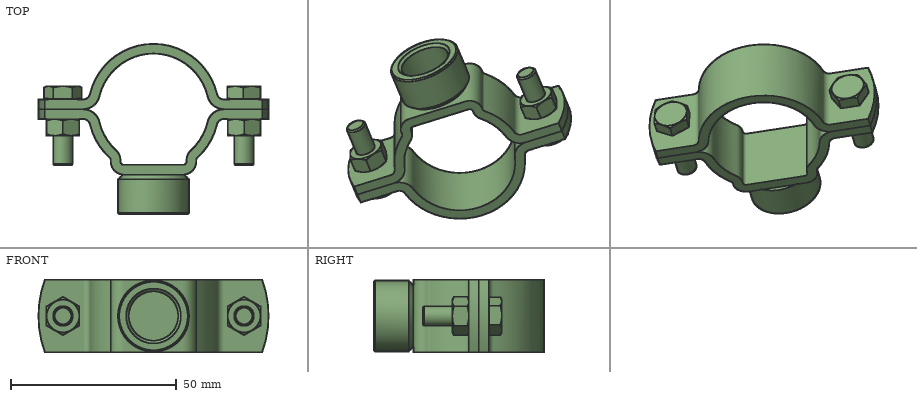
import cadquery as cq
import math


LENGTH = 69.8
STRIP_WIDTH = 22.0
THICKNESS = 3.0
RING_OUTER = 19.8
RING_INNER = RING_OUTER - THICKNESS

FLANGE_BEND = 2.0
FLANGE_CORNER_X = 32.95

PAD_HALF_WIDTH = 13.0
PAD_BEND = 1.0

BOLT_X = 27.45
BOLT_DIAMETER = 6.0
BOLT_END_Y = -17.05
BOLT_END_CHAMFER = 0.5
HEX_FLATS = 10.0
HEX_CORNERS = HEX_FLATS / math.cos(math.radians(30))
HEX_FACE_DIAMETER = 9.9
HEX_CHAMFER_ANGLE = 30.0
HEAD_HEIGHT = 4.0
WASHER_FACE_HEIGHT = 0.2
WASHER_FACE_DIAMETER = 8.95
NUT_HEIGHT = 5.0
NUT_TURN = 30.0
SIDES = (-1, 1)
HEAD_TURNS = {-1: 0.0, 1: 32.5}

SOCKET_DIAMETER = 21.6
SOCKET_END_Y = -31.85
SOCKET_BASE_CHAMFER = 1.5
SOCKET_END_CHAMFER = 0.4
BORE_DIAMETER = 14.95
BORE_MOUTH_CHAMFER = 0.85

FLANGE_BEND_Y = THICKNESS + FLANGE_BEND
FLANGE_BEND_X = math.sqrt((RING_OUTER + FLANGE_BEND) ** 2 - FLANGE_BEND_Y ** 2)
FLANGE_ANGLE = math.degrees(math.atan2(FLANGE_BEND_Y, FLANGE_BEND_X))

WALL_BEND_X = PAD_HALF_WIDTH + PAD_BEND
WALL_BEND_Y = -math.sqrt((RING_OUTER + PAD_BEND) ** 2 - WALL_BEND_X ** 2)
WALL_ANGLE = math.degrees(math.atan2(WALL_BEND_Y, WALL_BEND_X))

PAD_BEND_OUTER = PAD_BEND + THICKNESS
PAD_BEND_X = PAD_HALF_WIDTH - PAD_BEND_OUTER
PAD_BEND_Y = -RING_OUTER + PAD_BEND_OUTER


def polar(center, radius, angle):
    """Point of a circle at an angle in degrees."""
    turn = math.radians(angle)
    return (center[0] + radius * math.cos(turn), center[1] + radius * math.sin(turn))


def bend(center, inner, start, end):
    """Curved piece of strip with the given inner radius, between two angles in degrees."""
    outer = inner + THICKNESS
    middle = (start + end) / 2
    return (
        cq.Workplane("XY")
        .workplane(offset=-STRIP_WIDTH / 2)
        .moveTo(*polar(center, inner, start))
        .lineTo(*polar(center, outer, start))
        .threePointArc(polar(center, outer, middle), polar(center, outer, end))
        .lineTo(*polar(center, inner, end))
        .threePointArc(polar(center, inner, middle), polar(center, inner, start))
        .close()
        .extrude(STRIP_WIDTH)
    )


def bar(x_min, x_max, y_min, y_max):
    """Straight piece of strip."""
    size = (x_max - x_min, y_max - y_min, STRIP_WIDTH)
    return cq.Workplane("XY").box(*size, centered=(False, False, True)).translate((x_min, y_min, 0))


def cylinder(diameter, y_min, y_max):
    """Round bar along Y, centred on the Y axis."""
    return cq.Workplane("XZ", origin=(0, y_max, 0)).circle(diameter / 2).extrude(y_max - y_min)


def flange():
    """Right-hand flange above Y = 0, with a bowed end and a bolt hole."""
    half_width = STRIP_WIDTH / 2
    plate = (
        cq.Workplane("XZ")
        .moveTo(FLANGE_BEND_X, -half_width)
        .lineTo(FLANGE_CORNER_X, -half_width)
        .threePointArc((LENGTH / 2, 0), (FLANGE_CORNER_X, half_width))
        .lineTo(FLANGE_BEND_X, half_width)
        .close()
        .extrude(-THICKNESS)
    )
    return plate.cut(cylinder(BOLT_DIAMETER, 0, THICKNESS).translate((BOLT_X, 0, 0)))


def join(pieces):
    """One strip from its pieces, keeping the bend lines between them."""
    strip = pieces[0]
    for piece in pieces[1:]:
        strip = strip.union(piece, clean=False)
    return strip


def mirrored(piece):
    """The piece and its mirror image across the plane X = 0."""
    return [piece, piece.mirror("YZ")]


def flange_with_bend():
    """Right-hand flange above Y = 0 and the bend leading from it to the ring."""
    flange_bend = bend((FLANGE_BEND_X, FLANGE_BEND_Y), FLANGE_BEND, 180 + FLANGE_ANGLE, 270)
    return [flange(), flange_bend]


def make_rear_strip():
    """Half ring between two flanges."""
    pieces = [bend((0, 0), RING_INNER, FLANGE_ANGLE, 180 - FLANGE_ANGLE)]
    for piece in flange_with_bend():
        pieces += mirrored(piece)
    return join(pieces)


def make_front_strip():
    """Half ring between two flanges, pressed into a flat pad at its middle."""
    right_half = [piece.mirror("XZ") for piece in flange_with_bend()]
    right_half += [
        bend((0, 0), RING_INNER, WALL_ANGLE, -FLANGE_ANGLE),
        bend((WALL_BEND_X, WALL_BEND_Y), PAD_BEND, 180 + WALL_ANGLE, 180),
        bar(PAD_HALF_WIDTH - THICKNESS, PAD_HALF_WIDTH, PAD_BEND_Y, WALL_BEND_Y),
        bend((PAD_BEND_X, PAD_BEND_Y), PAD_BEND, -90, 0),
    ]
    pieces = [bar(-PAD_BEND_X, PAD_BEND_X, -RING_OUTER, -RING_INNER)]
    for piece in right_half:
        pieces += mirrored(piece)
    return join(pieces)


def hexagon(y_min, y_max, turn, chamfer_low):
    """Hexagonal prism along Y with its corners chamfered at the +Y end, optionally at both ends."""
    face_radius = HEX_FACE_DIAMETER / 2
    corner_radius = HEX_CORNERS / 2
    drop = (corner_radius - face_radius) * math.tan(math.radians(HEX_CHAMFER_ANGLE))
    prism = (
        cq.Workplane("XZ", origin=(0, y_max, 0))
        .polygon(6, HEX_CORNERS)
        .extrude(y_max - y_min)
        .rotate((0, 0, 0), (0, -1, 0), turn)
    )
    profile = cq.Workplane("XY").moveTo(0, y_max).lineTo(face_radius, y_max)
    profile = profile.lineTo(corner_radius, y_max - drop)
    if chamfer_low:
        profile = profile.lineTo(corner_radius, y_min + drop).lineTo(face_radius, y_min)
    else:
        profile = profile.lineTo(corner_radius, y_min)
    envelope = profile.lineTo(0, y_min).close().revolve(360, (0, 0, 0), (0, 1, 0))
    return prism.intersect(envelope)


def make_bolt(side):
    """Hexagon bolt with its washer face on the rear flange."""
    hex_base = THICKNESS + WASHER_FACE_HEIGHT
    shank = cylinder(BOLT_DIAMETER, BOLT_END_Y, THICKNESS).faces("<Y").chamfer(BOLT_END_CHAMFER)
    washer_face = cylinder(WASHER_FACE_DIAMETER, THICKNESS, hex_base)
    head = hexagon(hex_base, THICKNESS + HEAD_HEIGHT, HEAD_TURNS[side], chamfer_low=False)
    return shank.union(washer_face).union(head).translate((side * BOLT_X, 0, 0))


def make_nut(side):
    """Hexagon nut on the front flange, bored to fit the bolt."""
    end_y = -THICKNESS - NUT_HEIGHT
    nut = hexagon(end_y, -THICKNESS, NUT_TURN, chamfer_low=True)
    return nut.cut(cylinder(BOLT_DIAMETER, end_y, -THICKNESS)).translate((side * BOLT_X, 0, 0))


def make_socket():
    """Round socket on the pad, bored down to the pad."""
    base_y = -RING_OUTER
    body = cylinder(SOCKET_DIAMETER, SOCKET_END_Y, base_y)
    body = body.faces(">Y").chamfer(SOCKET_BASE_CHAMFER)
    body = body.faces("<Y").chamfer(SOCKET_END_CHAMFER)
    body = body.cut(cylinder(BORE_DIAMETER, SOCKET_END_Y, base_y))
    bore_mouth = body.faces("<Y").edges(cq.selectors.RadiusNthSelector(0))
    return bore_mouth.chamfer(BORE_MOUTH_CHAMFER)


rear_strip = make_rear_strip()
front_strip = make_front_strip()
socket = make_socket()
bolts = [make_bolt(side) for side in SIDES]
nuts = [make_nut(side) for side in SIDES]

bodies = [rear_strip, front_strip, socket, *bolts, *nuts]
result = cq.Compound.makeCompound([body.solids().val() for body in bodies])